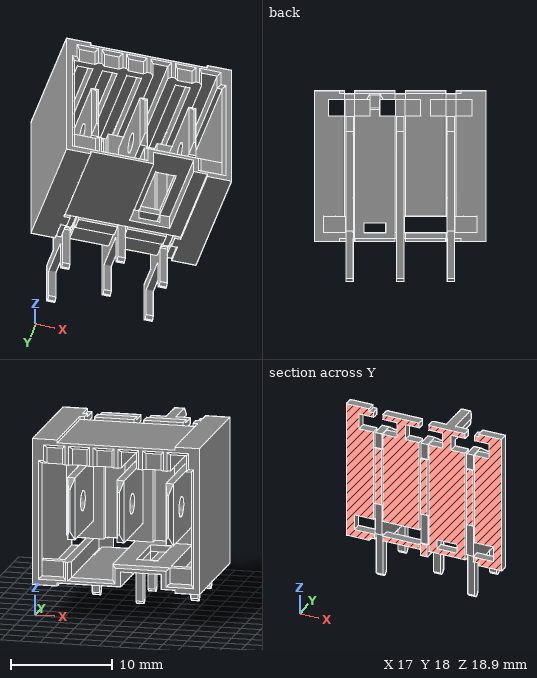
import cadquery as cq

BODY_WIDTH = 17.0
BODY_DEPTH = 12.78
BODY_HEIGHT = 14.93

CONTACT_PITCH = 5.0
CONTACT_THICKNESS = 0.75
LEG_BOTTOM = -3.97
LEG_WIDTH = 0.8
LEG_SPACING = 5.0
LEG_TIP_RUN = 0.3
LEG_TIP_RISE = 0.3
OUTER_CONTACT_REAR = 18.0
PLATE_REAR = 15.63
PLATE_FRONT = 11.95
PLATE_TOP = 12.35
PLATE_CORNER_RUN = 2.05
PLATE_CORNER_DROP = 1.47
BAR_TOP = 1.04
BAR_BOTTOM = -0.35
BAR_ROUND = 0.15
BLADE_BOTTOM = 4.33
BLADE_TOP = 10.66
BLADE_TIP_Y = 1.1
BLADE_TAPER_LENGTH = 0.81
BLADE_TIP_THICKNESS = 0.17
BLADE_TAPER_HEIGHT = 0.98
BLADE_HOLE_DIAMETER = 2.0
BLADE_HOLE_Y = 5.22

SKIN = 0.89
MOUTH_BEVEL = 0.3
CAVITY_HALF_WIDTH = 7.6
CAVITY_TOP = 12.42
KEY_BAND_HALF_WIDTH = 7.09
BOSS_FRONT = 9.7
BOSS_PROJECTION = 0.75
BOSS_WIDTH = 2.84
BOSS_LEFT_LIMIT = -6.25

RIB_PITCH = CONTACT_PITCH / 2
TOP_RIB_WIDTH = 0.98
FLOOR_RIB_WIDTH = 0.81
PLUG_THICKNESS = 0.7
SLOT_COUNT = 6
PLUGGED_SLOTS = (0, 1, 2, 4)
STEP_LEFT = -0.4
STEP_RIGHT = 5.4
STEP_TOP = 2.5
CHANNEL_LEFT = 0.47
CHANNEL_RIGHT = 4.6
CHANNEL_TOP = 1.83
CHANNEL_LENGTH = 8.6
WINDOW_LEFT = 1.44
WINDOW_RIGHT = 3.57
WINDOW_FRONT = 2.72

RELIEF_HALF_WIDTH = 6.0
RELIEF_DEPTH = 0.3
FRONT_RELIEF_LENGTH = 9.55
REAR_RELIEF_LENGTH = 2.02
CONTACT_SLOT_WIDTH = 1.0
REAR_SLOT_LENGTH = 1.02
SLOT_CORNER_RADIUS = 0.19

POST_X = CONTACT_PITCH / 2
POST_REAR = 16.39
POST_HEAD_WIDTH = 1.63
POST_STEM_WIDTH = 0.98
POST_BOTTOM = 13.08
POST_TIP_LENGTH = 0.51
POST_END_CHAMFER = 0.15

CONTACT_CENTRES = [i * CONTACT_PITCH for i in (-1, 0, 1)]
KEY_BAND_TOP = BODY_HEIGHT - SKIN
REAR_WALL_FRONT = BOSS_FRONT + BOSS_PROJECTION
POST_TOP = BODY_HEIGHT - RELIEF_DEPTH


def block(x0, x1, y0, y1, z0, z1):
    """Box between two opposite corners."""
    return cq.Workplane("XY").box(x1 - x0, y1 - y0, z1 - z0, centered=False).translate((x0, y0, z0))


def mouth_pocket(half_width, z0, z1, depth):
    """Pocket from the front face with a 45 degree bevel around its mouth."""
    b = MOUTH_BEVEL
    flare = (
        cq.Workplane("XZ")
        .center(0, (z0 + z1) / 2)
        .rect(2 * (half_width + b), z1 - z0 + 2 * b)
        .workplane(offset=-b)
        .rect(2 * half_width, z1 - z0)
        .loft(ruled=True)
    )
    return block(-half_width, half_width, 0, depth, z0, z1).union(flare)


def key_rib(x, width, z0, z1):
    """Rib running front to back with both front edges bevelled."""
    half = width / 2
    tip = half - MOUTH_BEVEL
    outline = [
        (-half, BODY_DEPTH),
        (-half, MOUTH_BEVEL),
        (-tip, 0),
        (tip, 0),
        (half, MOUTH_BEVEL),
        (half, BODY_DEPTH),
    ]
    return cq.Workplane("XY").polyline(outline).close().extrude(z1 - z0).translate((x, 0, z0))


def plug(x0, x1, z0, z1):
    """Thin plate that closes a keying slot just behind the mouth bevel."""
    return block(x0, x1, MOUTH_BEVEL, MOUTH_BEVEL + PLUG_THICKNESS, z0, z1)


def cavity():
    """Mating cavity, with passages above and below its rear wall that run out at the back."""
    main = mouth_pocket(CAVITY_HALF_WIDTH, SKIN, CAVITY_TOP, REAR_WALL_FRONT)
    key_band = mouth_pocket(KEY_BAND_HALF_WIDTH, STEP_TOP, KEY_BAND_TOP, REAR_WALL_FRONT)
    top_passage = block(-KEY_BAND_HALF_WIDTH, KEY_BAND_HALF_WIDTH, 0, BODY_DEPTH, CAVITY_TOP, KEY_BAND_TOP)
    floor_passage = block(-CAVITY_HALF_WIDTH, CAVITY_HALF_WIDTH, 0, BODY_DEPTH, SKIN, STEP_TOP)
    return main.union(key_band).union(top_passage).union(floor_passage)


def contact_bosses():
    """Raised panel of the rear wall around each contact."""
    bosses = cq.Workplane("XY")
    for x in CONTACT_CENTRES:
        bosses = bosses.union(
            block(
                max(x - BOSS_WIDTH / 2, BOSS_LEFT_LIMIT),
                x + BOSS_WIDTH / 2,
                BOSS_FRONT,
                REAR_WALL_FRONT,
                STEP_TOP,
                CAVITY_TOP,
            )
        )
    return bosses


def top_keys():
    """Ribs that divide the top passage into slots, and the plugs in some of them."""
    rib_top = KEY_BAND_TOP + MOUTH_BEVEL
    keys = cq.Workplane("XY")
    for i in range(1, SLOT_COUNT):
        keys = keys.union(key_rib((i - SLOT_COUNT / 2) * RIB_PITCH, TOP_RIB_WIDTH, CAVITY_TOP, rib_top))
    for slot in PLUGGED_SLOTS:
        x0 = (slot - SLOT_COUNT / 2) * RIB_PITCH
        keys = keys.union(plug(max(x0, -KEY_BAND_HALF_WIDTH), x0 + RIB_PITCH, CAVITY_TOP, KEY_BAND_TOP))
    return keys


def floor_keys():
    """Raised floor, floor rib and the plugs in the two lower corners of the mouth."""
    rib_x = CONTACT_CENTRES[0]
    rib_base = SKIN - MOUTH_BEVEL
    step = (
        block(STEP_LEFT, STEP_RIGHT, 0, BODY_DEPTH, rib_base, STEP_TOP)
        .faces("<Y")
        .edges("not <Z")
        .chamfer(MOUTH_BEVEL)
    )
    return (
        step.union(key_rib(rib_x, FLOOR_RIB_WIDTH, rib_base, STEP_TOP))
        .union(plug(-CAVITY_HALF_WIDTH, rib_x, SKIN, STEP_TOP))
        .union(plug(STEP_RIGHT, CAVITY_HALF_WIDTH, SKIN, STEP_TOP))
    )


def latch_openings():
    """Channel under the raised floor, the opening through that floor and the window to the rear."""
    channel = block(CHANNEL_LEFT, CHANNEL_RIGHT, 0, CHANNEL_LENGTH, 0, CHANNEL_TOP)
    opening = block(WINDOW_LEFT, WINDOW_RIGHT, WINDOW_FRONT, CHANNEL_LENGTH, SKIN, STEP_TOP)
    window = block(WINDOW_LEFT, WINDOW_RIGHT, CHANNEL_LENGTH, BODY_DEPTH, SKIN, CHANNEL_TOP)
    return channel.union(opening).union(window)


def face_reliefs():
    """Shallow steps across the top and bottom faces, one at the front and one at the rear."""
    reliefs = cq.Workplane("XY")
    for z in (0, BODY_HEIGHT - RELIEF_DEPTH):
        for y0, y1 in ((0, FRONT_RELIEF_LENGTH), (BODY_DEPTH - REAR_RELIEF_LENGTH, BODY_DEPTH)):
            reliefs = reliefs.union(block(-RELIEF_HALF_WIDTH, RELIEF_HALF_WIDTH, y0, y1, z, z + RELIEF_DEPTH))
    return reliefs


def contact_slot(x):
    """Groove in the top and bottom skins, and a full height slot with rounded corners at the rear.

    The outer contacts touch the bottom skin on their outer side, so their slots are narrower there.
    """
    half = CONTACT_SLOT_WIDTH / 2
    r = SLOT_CORNER_RADIUS
    rear = BODY_DEPTH
    full_slot = (
        cq.Workplane("XY")
        .moveTo(-half, rear - REAR_SLOT_LENGTH)
        .lineTo(half, rear - REAR_SLOT_LENGTH)
        .lineTo(half, rear - r)
        .radiusArc((half + r, rear), r)
        .lineTo(-half - r, rear)
        .radiusArc((-half, rear - r), r)
        .close()
        .extrude(BODY_HEIGHT)
    )
    bottom_groove = block(-half, half, FRONT_RELIEF_LENGTH, rear, 0, SKIN)
    top_groove = block(-half, half, FRONT_RELIEF_LENGTH, rear, KEY_BAND_TOP, BODY_HEIGHT)
    slot = full_slot.union(bottom_groove).union(top_groove)
    if x != 0:
        side = block(CONTACT_THICKNESS / 2, half + r, FRONT_RELIEF_LENGTH, rear, 0, SKIN)
        slot = slot.cut(side if x > 0 else side.mirror("YZ"))
    return slot.translate((x, 0, 0))


def post():
    """Locating post: a stem under a head with sloping sides, narrowed at its free end."""
    head = POST_HEAD_WIDTH / 2
    stem = POST_STEM_WIDTH / 2
    start = BODY_DEPTH - REAR_SLOT_LENGTH
    section = [
        (-stem, POST_BOTTOM),
        (stem, POST_BOTTOM),
        (stem, KEY_BAND_TOP),
        (head, KEY_BAND_TOP),
        (stem, POST_TOP),
        (-stem, POST_TOP),
        (-head, KEY_BAND_TOP),
        (-stem, KEY_BAND_TOP),
    ]
    plan = [
        (-head, start),
        (head, start),
        (head, POST_REAR - POST_TIP_LENGTH),
        (stem, POST_REAR),
        (-stem, POST_REAR),
        (-head, POST_REAR - POST_TIP_LENGTH),
    ]
    bar = cq.Workplane("XZ", origin=(0, start, 0)).polyline(section).close().extrude(start - POST_REAR)
    tip_limit = (
        cq.Workplane("XY", origin=(0, 0, POST_BOTTOM))
        .polyline(plan)
        .close()
        .extrude(POST_TOP - POST_BOTTOM)
        .faces(">Y")
        .edges("|X")
        .chamfer(POST_END_CHAMFER)
    )
    return bar.intersect(tip_limit).translate((POST_X, 0, 0))


def side_plate(points):
    """Plate of contact thickness, centred on X = 0, from an outline of (Y, Z) points."""
    half = CONTACT_THICKNESS / 2
    return cq.Workplane("YZ").polyline(points).close().extrude(half, both=True)


def leg(rear):
    """Leg with a bevelled tip, its rear side at `rear` and its top end inside the foot bar."""
    front = rear - LEG_WIDTH
    top = BAR_BOTTOM + BAR_ROUND
    tip = LEG_BOTTOM + LEG_TIP_RISE
    return side_plate(
        [
            (front, top),
            (rear, top),
            (rear, tip),
            (rear - LEG_TIP_RUN, LEG_BOTTOM),
            (front + LEG_TIP_RUN, LEG_BOTTOM),
            (front, tip),
        ]
    )


def blade():
    """Blade pointing at the mouth, tapered to a thin edge and pierced by a round hole."""
    shoulder = BLADE_TIP_Y + BLADE_TAPER_LENGTH
    height = BLADE_TOP - BLADE_BOTTOM
    middle = (BLADE_TOP + BLADE_BOTTOM) / 2
    taper = (
        cq.Workplane("XZ", origin=(0, shoulder, middle))
        .rect(CONTACT_THICKNESS, height)
        .workplane(offset=BLADE_TAPER_LENGTH)
        .rect(BLADE_TIP_THICKNESS, height - 2 * BLADE_TAPER_HEIGHT)
        .loft(ruled=True)
    )
    half = CONTACT_THICKNESS / 2
    shank = block(-half, half, shoulder, PLATE_FRONT, BLADE_BOTTOM, BLADE_TOP)
    hole = (
        cq.Workplane("YZ", origin=(0, BLADE_HOLE_Y, middle))
        .circle(BLADE_HOLE_DIAMETER / 2)
        .extrude(CONTACT_THICKNESS, both=True)
    )
    return shank.union(taper).cut(hole)


def contact(x, rear):
    """One contact: blade, upright plate and a foot bar with two legs, the rear leg ending at `rear`."""
    front_leg_rear = rear - LEG_SPACING
    bar_front = front_leg_rear - LEG_WIDTH
    upright_bottom = BAR_TOP - BAR_ROUND
    upright = side_plate(
        [
            (PLATE_FRONT, upright_bottom),
            (PLATE_REAR, upright_bottom),
            (PLATE_REAR, PLATE_TOP - PLATE_CORNER_DROP),
            (PLATE_REAR - PLATE_CORNER_RUN, PLATE_TOP),
            (PLATE_FRONT, PLATE_TOP),
        ]
    )
    half = CONTACT_THICKNESS / 2
    bar = block(-half, half, bar_front, rear, BAR_BOTTOM, BAR_TOP)
    bar = bar.faces(">Y").edges(">Z").fillet(BAR_ROUND)
    foot = bar.union(leg(rear)).union(leg(front_leg_rear))
    inner_corners = cq.selectors.BoxSelector(
        (-half, bar_front + LEG_WIDTH / 2, BAR_BOTTOM - BAR_ROUND / 2),
        (half, rear - LEG_WIDTH / 2, BAR_BOTTOM + BAR_ROUND / 2),
    )
    foot = foot.edges("|X").edges(inner_corners).fillet(BAR_ROUND)
    return upright.union(foot).union(blade()).translate((x, 0, 0))


housing = block(-BODY_WIDTH / 2, BODY_WIDTH / 2, 0, BODY_DEPTH, 0, BODY_HEIGHT)
housing = housing.cut(cavity()).union(contact_bosses()).union(top_keys()).union(floor_keys())
housing = housing.cut(latch_openings()).cut(face_reliefs())
for contact_x in CONTACT_CENTRES:
    housing = housing.cut(contact_slot(contact_x))

result = housing.union(post())
for contact_x in CONTACT_CENTRES:
    rear_end = PLATE_REAR if contact_x == 0 else OUTER_CONTACT_REAR
    result = result.union(contact(contact_x, rear_end))